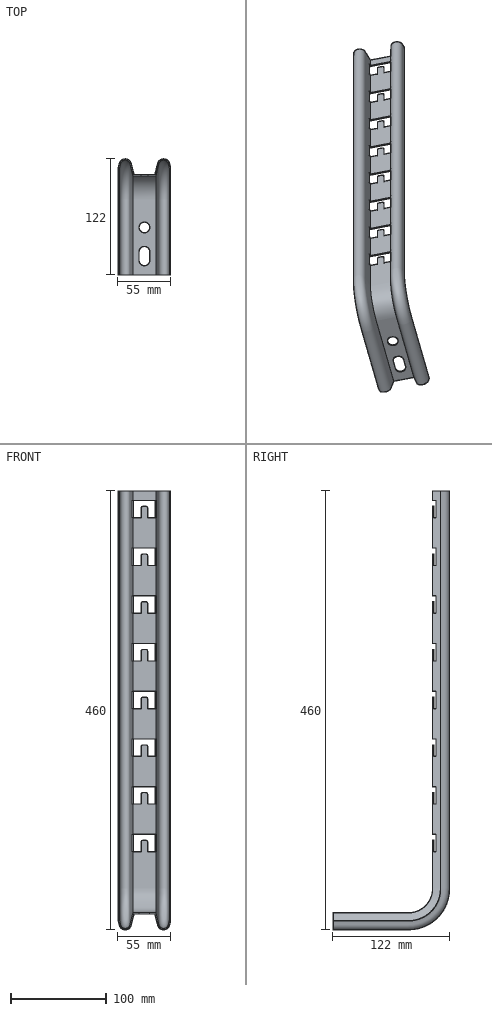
import cadquery as cq
import math


width = 55.0
leg_reach = 122.0
height = 460.0

sheet = 1.5
section_depth = 18.0
web_half_width = 12.0
curl_outer_radius = 6.5
wall_slant = math.radians(14.25)

bend_inner_radius = 25.0

window_count = 8
window_pitch = 50.0
window_top_offset = 10.0
window_height = 18.0
window_cut_depth = 3.5
window_cut_width = 30.0
tab_width = 7.0
tab_height = 12.0
tab_corner_radius = 2.0

hole_diameter = 11.0
hole_from_end = 50.0
slot_length = 20.0
slot_from_end = 20.0

web_face_y = leg_reach - section_depth
web_face_z = section_depth
bend_axis_y = web_face_y - bend_inner_radius
bend_axis_z = web_face_z + bend_inner_radius

curl_inner_radius = curl_outer_radius - sheet
curl_depth = section_depth - curl_outer_radius
curl_x = web_half_width + curl_depth * math.tan(wall_slant) + curl_inner_radius / math.cos(wall_slant)

lip_line_x = curl_x + curl_outer_radius / math.cos(wall_slant)
lip_depth = curl_depth - (width / 2 - lip_line_x) / math.tan(wall_slant)


def curl_point(radius, angle):
    """Point on the +X curl as (x, depth); the angle runs from +X towards the curl's crest."""
    return (curl_x + radius * math.cos(angle), curl_depth + radius * math.sin(angle))


def mirrored(point):
    return (-point[0], point[1])


def channel_section(workplane):
    """Closed outline of the sheet: X across, depth from the web face along the plane's Y."""
    lip_tangent = wall_slant
    crest = math.pi / 2
    wall_tangent = math.pi - wall_slant
    face_corner = (web_half_width, 0)
    rear_corner = (
        web_half_width + sheet * math.tan(wall_slant) - sheet / math.cos(wall_slant),
        sheet,
    )
    inner_start = curl_point(curl_inner_radius, wall_tangent)
    inner_crest = curl_point(curl_inner_radius, crest)
    inner_end = curl_point(curl_inner_radius, lip_tangent)
    outer_start = curl_point(curl_outer_radius, lip_tangent)
    outer_crest = curl_point(curl_outer_radius, crest)
    outer_end = curl_point(curl_outer_radius, wall_tangent)
    lip_outside = (width / 2, lip_depth)
    lip_inside = (
        width / 2 - sheet * math.cos(wall_slant),
        lip_depth - sheet * math.sin(wall_slant),
    )
    return (
        workplane.moveTo(*mirrored(face_corner))
        .lineTo(*face_corner)
        .lineTo(*inner_start)
        .threePointArc(inner_crest, inner_end)
        .lineTo(*lip_inside)
        .lineTo(*lip_outside)
        .lineTo(*outer_start)
        .threePointArc(outer_crest, outer_end)
        .lineTo(*rear_corner)
        .lineTo(*mirrored(rear_corner))
        .lineTo(*mirrored(outer_end))
        .threePointArc(mirrored(outer_crest), mirrored(outer_start))
        .lineTo(*mirrored(lip_outside))
        .lineTo(*mirrored(lip_inside))
        .lineTo(*mirrored(inner_end))
        .threePointArc(mirrored(inner_crest), mirrored(inner_start))
        .close()
    )


def bent_channel():
    """Upright, quarter bend and foot, all with the same section."""
    bend_start = cq.Plane(origin=(0, web_face_y, bend_axis_z), xDir=(1, 0, 0), normal=(0, 0, 1))
    upright = channel_section(cq.Workplane(bend_start)).extrude(height - bend_axis_z)
    bend = channel_section(cq.Workplane(bend_start)).revolve(
        90, (0, -bend_inner_radius, 0), (-1, -bend_inner_radius, 0)
    )
    foot_end = cq.Plane(origin=(0, 0, web_face_z), xDir=(1, 0, 0), normal=(0, 1, 0))
    foot = channel_section(cq.Workplane(foot_end)).extrude(bend_axis_y)
    return upright.union(bend).union(foot)


def window_cutter(top_z):
    """Rectangle across the web, less the tab that stands on its lower edge."""
    bottom_z = top_z - window_height
    opening = cq.Workplane("XY").box(
        window_cut_width, window_cut_depth, window_height, centered=(True, False, False)
    )
    tab = (
        cq.Workplane("XY")
        .box(tab_width, window_cut_depth, tab_height, centered=(True, False, False))
        .edges("|Y and >Z")
        .fillet(tab_corner_radius)
    )
    return opening.cut(tab).translate((0, web_face_y, bottom_z))


def foot_hole_cutters():
    """Round hole and lengthwise slot through the web of the foot."""
    web_face = cq.Workplane("XY", origin=(0, 0, web_face_z))
    hole = web_face.center(0, hole_from_end).circle(hole_diameter / 2).extrude(-sheet)
    slot = web_face.center(0, slot_from_end).slot2D(slot_length, hole_diameter, 90).extrude(-sheet)
    return hole.union(slot)


result = bent_channel()
for index in range(window_count):
    result = result.cut(window_cutter(height - window_top_offset - index * window_pitch))
result = result.cut(foot_hole_cutters())